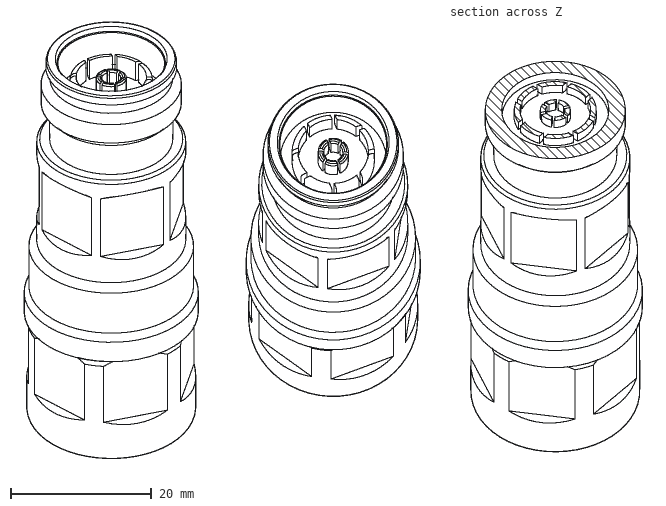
import cadquery as cq
import math

LENGTH = 61.65

HEX_SIDES = 6
FLAT_END_SLOPE = math.radians(30)

NUT_RADIUS = 12.0
NUT_APOTHEM = 11.05
NUT_HEIGHT = 17.65
NUT_FILLET = 1.0
NUT_NECK_RADIUS = 11.5
NUT_NECK_BOTTOM = 17.1
NUT_CHAMFER_BOTTOM = 16.5
NUT_FLAT_BOTTOM = 6.8
NUT_FLAT_TOP = 17.3

FLANGE_RADIUS = 12.4
FLANGE_TOP = 21.0
BARREL_RADIUS = 11.7
BARREL_BOTTOM = 22.15
BARREL_TOP = 29.1
HEX_RADIUS = 10.6
HEX_APOTHEM = 9.5
HEX_BOTTOM = 30.15
HEX_TOP = 47.7
HEX_CHAMFER = 0.45
HEX_FLAT_BOTTOM = 34.65
HEX_FLAT_TOP = 44.7
NECK_RADIUS = 8.75
COLLAR_RADIUS = 10.0
COLLAR_CONE_BOTTOM = 52.8
COLLAR_BOTTOM = 54.05
COLLAR_TOP = 57.3
COLLAR_CONE_TOP = 58.4
RIM_RADIUS = 9.3
RIM_BOTTOM = 60.25
RIM_BEVEL_RADIUS = 9.25
RIM_TOP_RADIUS = 9.05
RIM_BEVEL_BOTTOM = 61.05
RIM_BEVEL_BREAK = 61.35

MOUTH_RADIUS = 7.95
MOUTH_BREAK_RADIUS = 7.7
MOUTH_BREAK_DEPTH = 0.7
MOUTH_DEPTH = 0.8
SOCKET_RADIUS = 7.6
SOCKET_FLOOR = 55.3
CONTACT_TOP = 58.55

FINGER_OUTER_RADIUS = 5.85
FINGER_INNER_RADIUS = 5.0
FINGER_OUTER_FILLET = 0.55
FINGER_SLOTS = 4
FINGER_SLOT_WIDTH = 0.6
FINGER_SLOT_OFFSET = 2.05

CENTRE_OUTER_RADIUS = 2.15
CENTRE_INNER_RADIUS = 1.35
CENTRE_CHAMFER = 0.25
CENTRE_SLOT_WIDTH = 0.4
CENTRE_SLOTS = 3


def turned(profile):
    """Revolve a closed (radius, height) outline around Z."""
    return cq.Workplane("XZ").polyline(profile).close().revolve(360, (0, 0), (0, 1))


def cut_wrench_flats(body, apothem, round_radius, bottom, top):
    """Cut six flats whose ends slope outward; one pair faces -X and +X."""
    reach = 2 * (round_radius - apothem)
    end_rise = reach * math.tan(FLAT_END_SLOPE)
    cutter = (
        cq.Workplane("XZ")
        .polyline([
            (apothem, bottom),
            (apothem + reach, bottom - end_rise),
            (apothem + reach, top + end_rise),
            (apothem, top),
        ])
        .close()
        .extrude(round_radius, both=True)
    )
    for side in range(HEX_SIDES):
        body = body.cut(cutter.rotate((0, 0, 0), (0, 0, 1), side * 360 / HEX_SIDES))
    return body


def make_clamping_nut():
    nut = turned([
        (0, 0),
        (NUT_RADIUS, 0),
        (NUT_RADIUS, NUT_CHAMFER_BOTTOM),
        (NUT_NECK_RADIUS, NUT_NECK_BOTTOM),
        (NUT_NECK_RADIUS, NUT_HEIGHT),
        (0, NUT_HEIGHT),
    ])
    nut = nut.faces("<Z").edges().fillet(NUT_FILLET)
    return cut_wrench_flats(nut, NUT_APOTHEM, NUT_RADIUS, NUT_FLAT_BOTTOM, NUT_FLAT_TOP)


def make_body_shell():
    """Turned outside of the connector body with the open socket at its top."""
    shell = turned([
        (0, NUT_HEIGHT),
        (FLANGE_RADIUS, NUT_HEIGHT),
        (FLANGE_RADIUS, FLANGE_TOP),
        (BARREL_RADIUS, BARREL_BOTTOM),
        (BARREL_RADIUS, BARREL_TOP),
        (HEX_RADIUS, HEX_BOTTOM),
        (HEX_RADIUS, HEX_TOP - HEX_CHAMFER),
        (HEX_RADIUS - HEX_CHAMFER, HEX_TOP),
        (NECK_RADIUS, HEX_TOP),
        (NECK_RADIUS, COLLAR_CONE_BOTTOM),
        (COLLAR_RADIUS, COLLAR_BOTTOM),
        (COLLAR_RADIUS, COLLAR_TOP),
        (NECK_RADIUS, COLLAR_CONE_TOP),
        (NECK_RADIUS, RIM_BOTTOM),
        (RIM_RADIUS, RIM_BOTTOM),
        (RIM_RADIUS, RIM_BEVEL_BOTTOM),
        (RIM_BEVEL_RADIUS, RIM_BEVEL_BREAK),
        (RIM_TOP_RADIUS, LENGTH),
        (MOUTH_RADIUS, LENGTH),
        (MOUTH_BREAK_RADIUS, LENGTH - MOUTH_BREAK_DEPTH),
        (SOCKET_RADIUS, LENGTH - MOUTH_DEPTH),
        (SOCKET_RADIUS, SOCKET_FLOOR),
        (0, SOCKET_FLOOR),
    ])
    return cut_wrench_flats(shell, HEX_APOTHEM, HEX_RADIUS, HEX_FLAT_BOTTOM, HEX_FLAT_TOP)


def contact_tube(outer_radius, inner_radius):
    """Plain tube standing on the socket floor."""
    return (
        cq.Workplane("XY", origin=(0, 0, SOCKET_FLOOR))
        .circle(outer_radius)
        .circle(inner_radius)
        .extrude(CONTACT_TOP - SOCKET_FLOOR)
    )


def slot_cutter(length, width):
    """Slab along X that reaches from the socket floor to the contact tips."""
    return (
        cq.Workplane("XY", origin=(0, 0, SOCKET_FLOOR))
        .rect(length, width)
        .extrude(CONTACT_TOP - SOCKET_FLOOR)
    )


def make_outer_fingers():
    fingers = contact_tube(FINGER_OUTER_RADIUS, FINGER_INNER_RADIUS)
    tip_outer_edge = cq.selectors.RadiusNthSelector(-1)
    fingers = fingers.faces(">Z").edges(tip_outer_edge).fillet(FINGER_OUTER_FILLET)
    slot = slot_cutter(2 * SOCKET_RADIUS, FINGER_SLOT_WIDTH).translate((0, FINGER_SLOT_OFFSET, 0))
    for index in range(FINGER_SLOTS):
        fingers = fingers.cut(slot.rotate((0, 0, 0), (0, 0, 1), index * 360 / FINGER_SLOTS))
    return fingers


def make_centre_contact():
    contact = contact_tube(CENTRE_OUTER_RADIUS, CENTRE_INNER_RADIUS)
    contact = contact.faces(">Z").edges().chamfer(CENTRE_CHAMFER)
    slot = slot_cutter(4 * CENTRE_OUTER_RADIUS, CENTRE_SLOT_WIDTH)
    for index in range(CENTRE_SLOTS):
        contact = contact.cut(slot.rotate((0, 0, 0), (0, 0, 1), index * 180 / CENTRE_SLOTS))
    return contact


def make_connector_body():
    return make_body_shell().union(make_outer_fingers()).union(make_centre_contact())


clamping_nut = make_clamping_nut()
connector_body = make_connector_body()

result = cq.Compound.makeCompound([clamping_nut.val(), connector_body.val()])